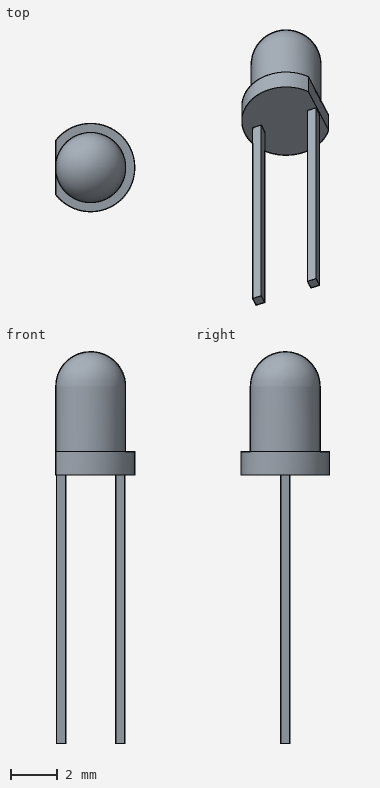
import cadquery as cq

total_height = 16.8
body_diameter = 3.0
flange_diameter = 3.8
flange_height = 1.0
lead_length = 11.5
lead_width = 0.4
lead_pitch = 2.54

body_radius = body_diameter / 2
body_height = total_height - lead_length
dome_base = body_height - body_radius


def make_lens():
    """Cylindrical body capped by a tangent hemisphere."""
    cylinder = cq.Workplane("XY").circle(body_radius).extrude(dome_base)
    dome = cq.Workplane("XY").sphere(body_radius).translate((0, 0, dome_base))
    return cylinder.union(dome.intersect(
        cq.Workplane("XY").workplane(offset=dome_base)
        .rect(body_diameter, body_diameter).extrude(body_radius)
    ))


def make_flange():
    """Round flange with a flat on -X, tangent to the body."""
    disc = cq.Workplane("XY").circle(flange_diameter / 2).extrude(flange_height)
    keep = (
        cq.Workplane("XY")
        .box(flange_diameter, flange_diameter, flange_height, centered=(False, True, False))
        .translate((-body_radius, 0, 0))
    )
    return disc.intersect(keep)


def make_leads():
    """Two square leads hanging below the flange."""
    return (
        cq.Workplane("XY")
        .pushPoints([(-lead_pitch / 2, 0), (lead_pitch / 2, 0)])
        .rect(lead_width, lead_width)
        .extrude(-lead_length)
    )


result = make_flange().union(make_lens()).union(make_leads())